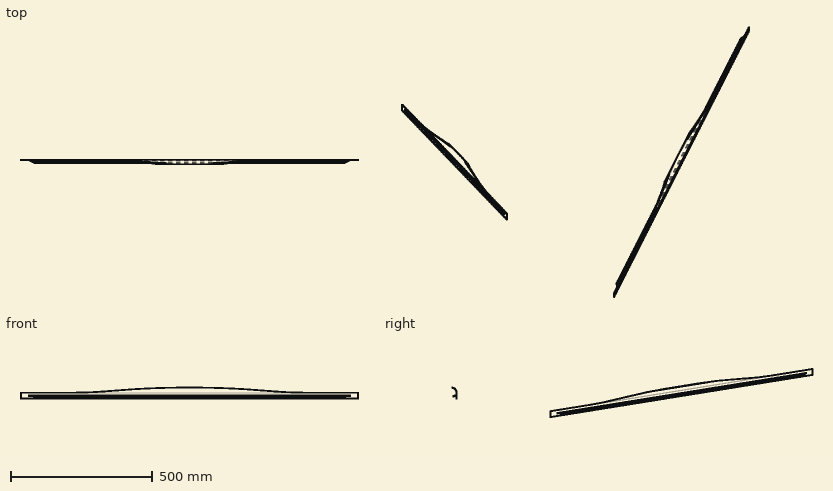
import math

import cadquery as cq

length = 1195.0
depth = 17.0
height = 40.0
wall = 2.0

visor_sweep = math.radians(85.0)
visor_radius = (depth - wall * math.cos(visor_sweep)) / (1 - math.cos(visor_sweep))
strip_height = height - visor_radius * math.sin(visor_sweep)

crown_half_width = 412.0
crown_turn_fraction = 0.7

shelf_bottom = 9.4
shelf_drop = 1.8
shelf_bend_start = 7.5
shelf_bend_end = 10.5
shelf_reach = 12.5
shelf_root_inset = 29.0
shelf_tip_inset = 49.0


def make_strip():
    strip = cq.Workplane("XY").box(length, wall, strip_height, centered=(True, False, False))
    return strip.translate((0, -wall, 0))


def visor_point(radius, angle):
    """Point (Y, Z) on the visor's bend, with the angle measured from the strip's top."""
    return (-visor_radius + radius * math.cos(angle), strip_height + radius * math.sin(angle))


def make_visor_wall():
    """Curved wall of constant section, tangent to the strip."""
    inner_radius = visor_radius - wall
    middle = visor_sweep / 2
    return (
        cq.Workplane("YZ")
        .moveTo(*visor_point(visor_radius, 0))
        .threePointArc(visor_point(visor_radius, middle), visor_point(visor_radius, visor_sweep))
        .lineTo(*visor_point(inner_radius, visor_sweep))
        .threePointArc(visor_point(inner_radius, middle), visor_point(inner_radius, 0))
        .close()
        .extrude(crown_half_width, both=True)
    )


def make_crown():
    """Block under the crown outline: a convex arc with a concave run-out at each end."""
    turn_x = crown_turn_fraction * crown_half_width
    turn_z = height - crown_turn_fraction * (height - strip_height)
    run_out = crown_half_width - turn_x
    run_out_rise = turn_z - strip_height
    run_out_radius = (run_out**2 + run_out_rise**2) / (2 * run_out_rise)
    middle_x = crown_half_width - run_out / 2
    middle_z = strip_height + run_out_radius - math.sqrt(run_out_radius**2 - (run_out / 2) ** 2)
    return (
        cq.Workplane("XZ")
        .moveTo(-crown_half_width, 0)
        .lineTo(-crown_half_width, strip_height)
        .threePointArc((-middle_x, middle_z), (-turn_x, turn_z))
        .threePointArc((0, height), (turn_x, turn_z))
        .threePointArc((middle_x, middle_z), (crown_half_width, strip_height))
        .lineTo(crown_half_width, 0)
        .close()
        .extrude(depth + wall)
    )


def make_shelf():
    """Stepped ledge, cut at a slant at both ends."""
    shelf_top = shelf_bottom + wall
    section = [
        (-wall, shelf_bottom),
        (-wall, shelf_top),
        (-shelf_bend_start, shelf_top),
        (-shelf_bend_end, shelf_top - shelf_drop),
        (-shelf_reach, shelf_top - shelf_drop),
        (-shelf_reach, shelf_bottom - shelf_drop),
        (-shelf_bend_end, shelf_bottom - shelf_drop),
        (-shelf_bend_start, shelf_bottom),
    ]
    root_x = length / 2 - shelf_root_inset
    tip_x = length / 2 - shelf_tip_inset
    plan = [(-root_x, -wall), (-tip_x, -shelf_reach), (tip_x, -shelf_reach), (root_x, -wall)]
    ledge = cq.Workplane("YZ").polyline(section).close().extrude(length / 2, both=True)
    return ledge.intersect(cq.Workplane("XY").polyline(plan).close().extrude(height))


visor = make_visor_wall().intersect(make_crown())
result = make_strip().union(visor).union(make_shelf())